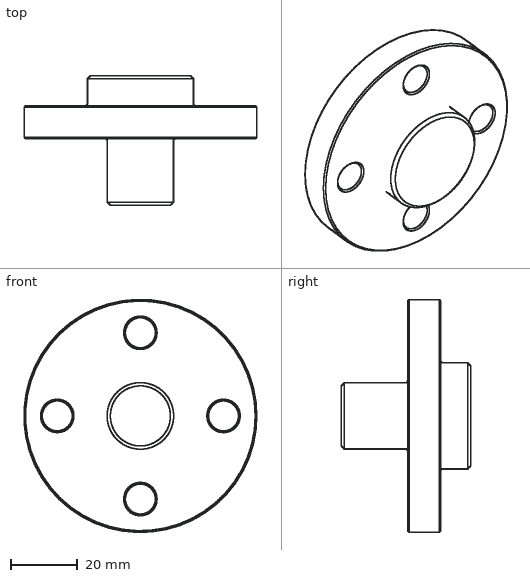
import cadquery as cq

flange_diameter = 70.0
flange_thickness = 10.0

shaft_diameter = 20.0
shaft_length = 19.95
boss_diameter = 32.0
boss_length = 9.0
end_chamfer = 1.0

hole_count = 4
hole_diameter = 9.0
hole_circle_diameter = 50.0

edge_break = 0.5

flange_back = flange_thickness
boss_end = flange_back + boss_length
shaft_end = -shaft_length


def turned_body():
    """Revolve the half section of shaft, flange and boss about the Y axis."""
    shaft_radius = shaft_diameter / 2
    boss_radius = boss_diameter / 2
    flange_radius = flange_diameter / 2
    root = edge_break
    section = (
        cq.Workplane("XY")
        .moveTo(0, shaft_end)
        .lineTo(shaft_radius - end_chamfer, shaft_end)
        .lineTo(shaft_radius, shaft_end + end_chamfer)
        .lineTo(shaft_radius, -root)
        .radiusArc((shaft_radius + root, 0), root)
        .lineTo(flange_radius - edge_break, 0)
        .lineTo(flange_radius, edge_break)
        .lineTo(flange_radius, flange_back - edge_break)
        .lineTo(flange_radius - edge_break, flange_back)
        .lineTo(boss_radius + root, flange_back)
        .radiusArc((boss_radius, flange_back + root), root)
        .lineTo(boss_radius, boss_end - end_chamfer)
        .lineTo(boss_radius - end_chamfer, boss_end)
        .lineTo(0, boss_end)
        .close()
    )
    return section.revolve(360, (0, 0, 0), (0, 1, 0))


def bolt_hole_cutter():
    """Through hole along Y, centred on the axis, chamfered at both mouths."""
    hole_radius = hole_diameter / 2
    mouth_radius = hole_radius + edge_break
    section = (
        cq.Workplane("XY")
        .moveTo(0, 0)
        .lineTo(mouth_radius, 0)
        .lineTo(hole_radius, edge_break)
        .lineTo(hole_radius, flange_back - edge_break)
        .lineTo(mouth_radius, flange_back)
        .lineTo(0, flange_back)
        .close()
    )
    return section.revolve(360, (0, 0, 0), (0, 1, 0))


result = turned_body()
first_hole = bolt_hole_cutter().translate((hole_circle_diameter / 2, 0, 0))
for index in range(hole_count):
    angle = index * 360 / hole_count
    result = result.cut(first_hole.rotate((0, 0, 0), (0, 1, 0), angle))